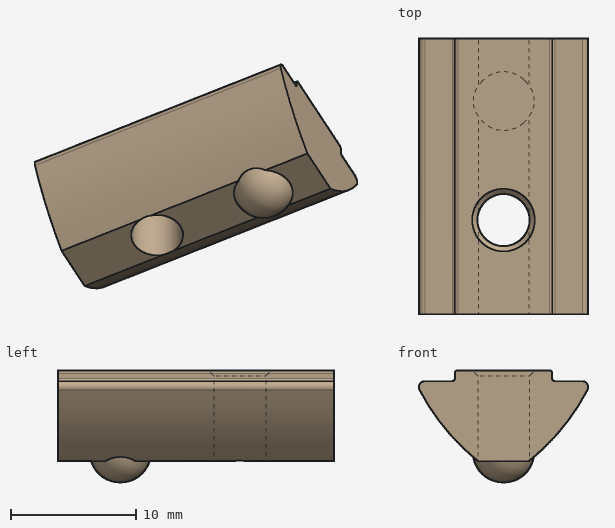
import cadquery as cq
import math

length = 22.0
width = 13.5
body_height = 7.24
bottom_width = 4.05

rail_width = 7.75
rail_height = 0.85
rail_fillet = 0.22

shoulder_radius = 0.48
flank_start_slope = 65.0
flank_mid_x = 3.78
flank_mid_z = -5.63

hole_diameter = 4.14
countersink_diameter = 5.0
hole_y = -3.48

ball_radius = 2.46
ball_y = 6.03
overall_height = 8.95


def make_body():
    """Extrude the section: rail, rounded shoulders, curved flanks and flat bottom."""
    half_rail = rail_width / 2
    half_bottom = bottom_width / 2
    round_x = width / 2 - shoulder_radius
    round_z = -rail_height - shoulder_radius
    flank_normal = math.radians(90 - flank_start_slope)
    flank_x = round_x + shoulder_radius * math.cos(flank_normal)
    flank_z = round_z - shoulder_radius * math.sin(flank_normal)

    body = (
        cq.Workplane("XZ")
        .moveTo(-half_rail, 0)
        .lineTo(half_rail, 0)
        .lineTo(half_rail, -rail_height)
        .lineTo(round_x, -rail_height)
        .threePointArc((width / 2, round_z), (flank_x, flank_z))
        .threePointArc((flank_mid_x, flank_mid_z), (half_bottom, -body_height))
        .lineTo(-half_bottom, -body_height)
        .threePointArc((-flank_mid_x, flank_mid_z), (-flank_x, flank_z))
        .threePointArc((-width / 2, round_z), (-round_x, -rail_height))
        .lineTo(-half_rail, -rail_height)
        .close()
        .extrude(length / 2, both=True)
    )
    rail_edges = cq.selectors.BoxSelector(
        (-half_rail - rail_fillet, -length, -rail_height - rail_fillet),
        (half_rail + rail_fillet, length, rail_fillet),
    )
    return body.edges("|Y").edges(rail_edges).fillet(rail_fillet)


def make_ball():
    return cq.Workplane("XY").sphere(ball_radius).translate((0, ball_y, ball_radius - overall_height))


def drill_hole(body):
    """Cut the through bore and its countersink from the top."""
    return (
        body.faces(">Z")
        .workplane(origin=(0, hole_y, 0))
        .cskHole(hole_diameter, countersink_diameter, 90)
    )


result = drill_hole(make_body()).union(make_ball())